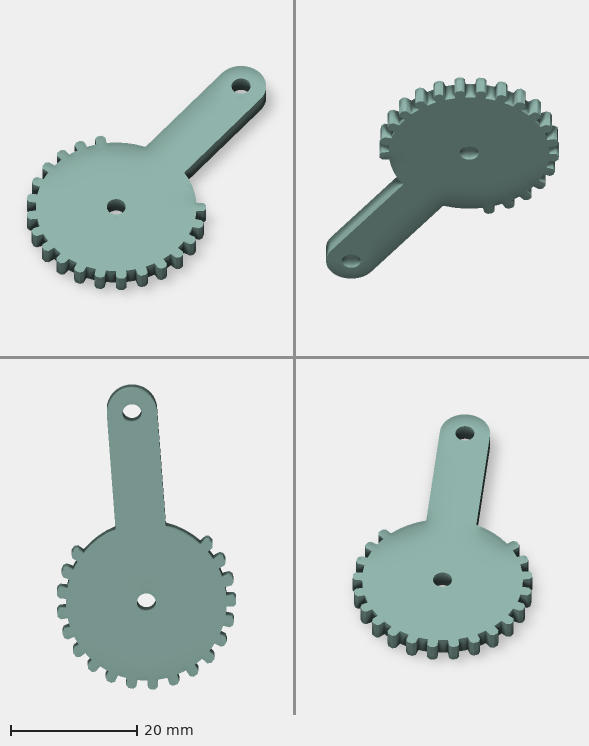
import cadquery as cq
import math

thickness = 3.0
root_radius = 12.75
tip_radius = 14.25
bore_diameter = 3.0

pitch_count = 25
tooth_count = 19
tooth_width = 1.65
tooth_chamfer = 0.4
pitches_before_bottom = 7.5

arm_end_x = -11.5
arm_end_y = 28.8
arm_width = 8.0

tooth_pitch = 360 / pitch_count
first_tooth_angle = -90 - pitches_before_bottom * tooth_pitch
arm_length = math.hypot(arm_end_x, arm_end_y)
arm_angle = math.degrees(math.atan2(arm_end_y, arm_end_x))


def disc(x, y, diameter):
    return cq.Workplane("XY").center(x, y).circle(diameter / 2).extrude(thickness)


def radial_bar(length, width):
    """Bar from the wheel axis out along +X."""
    return cq.Workplane("XY").center(length / 2, 0).rect(length, width).extrude(thickness)


def turned(shape, angle):
    """Shape turned about the wheel axis."""
    return shape.rotate((0, 0, 0), (0, 0, 1), angle)


def toothed_wheel():
    tooth = radial_bar(tip_radius, tooth_width).edges("|Z and >X").chamfer(tooth_chamfer)
    wheel = disc(0, 0, 2 * root_radius)
    for i in range(tooth_count):
        wheel = wheel.union(turned(tooth, first_tooth_angle + i * tooth_pitch))
    return wheel


def arm():
    bar = turned(radial_bar(arm_length, arm_width), arm_angle)
    return bar.union(disc(arm_end_x, arm_end_y, arm_width))


body = toothed_wheel().union(arm())
for x, y in [(0, 0), (arm_end_x, arm_end_y)]:
    body = body.cut(disc(x, y, bore_diameter))

result = body